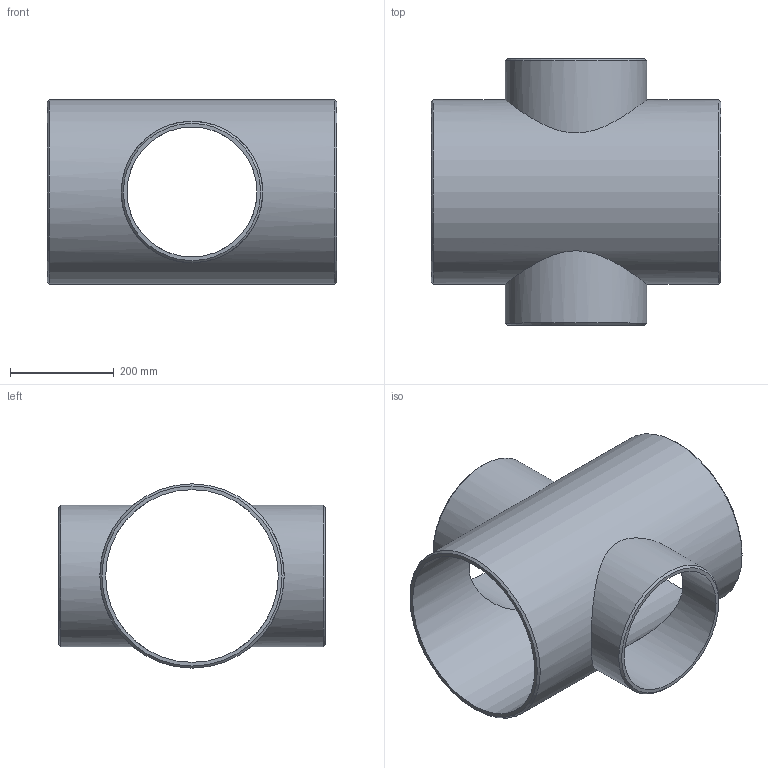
import cadquery as cq

RUN_DIAMETER = 355.6
RUN_LENGTH = 558.8

BRANCH_DIAMETER = 273.0
BRANCH_LENGTH = 514.1

WALL = 11.13
END_BEVEL = 4.0

RUN_PLANE = "YZ"
BRANCH_PLANE = "XZ"


def beveled_bar(plane, diameter, length):
    """Solid round bar centred on the origin, beveled at both ends."""
    bar = cq.Workplane(plane).circle(diameter / 2).extrude(length / 2, both=True)
    return bar.faces("%PLANE").edges().chamfer(END_BEVEL)


def bore(plane, diameter, length):
    """Cylinder that clears the inside of a pipe from end to end."""
    bore_radius = diameter / 2 - WALL
    return cq.Workplane(plane).circle(bore_radius).extrude(length / 2, both=True)


run_body = beveled_bar(RUN_PLANE, RUN_DIAMETER, RUN_LENGTH)
branch_body = beveled_bar(BRANCH_PLANE, BRANCH_DIAMETER, BRANCH_LENGTH)
run_bore = bore(RUN_PLANE, RUN_DIAMETER, RUN_LENGTH)
branch_bore = bore(BRANCH_PLANE, BRANCH_DIAMETER, BRANCH_LENGTH)

result = run_body.union(branch_body).cut(run_bore).cut(branch_bore)